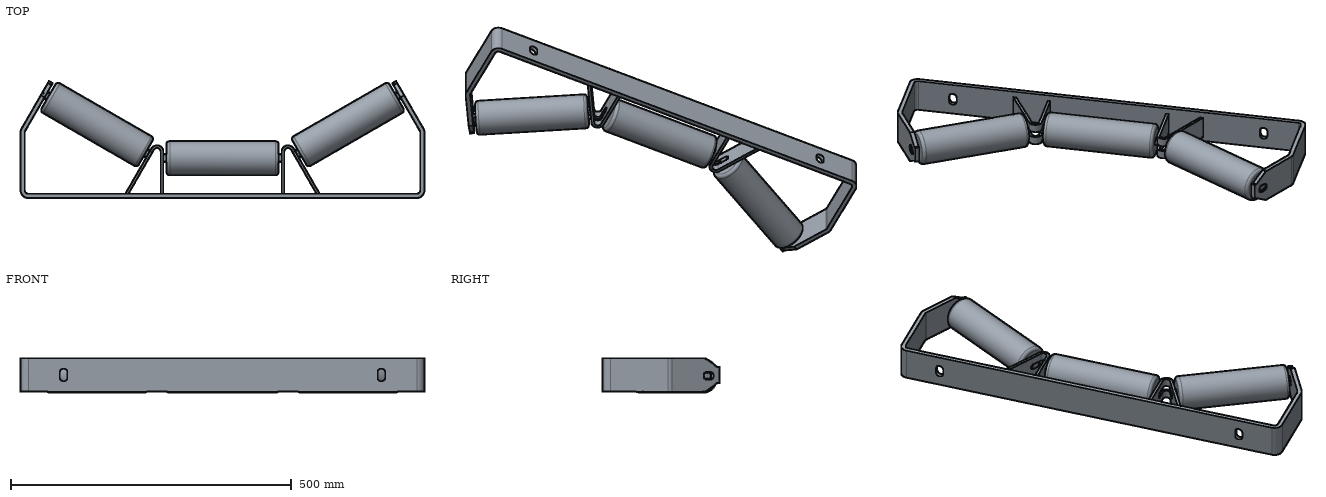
import cadquery as cq
import math


frame_length = 720.0
frame_height = 60.0
frame_thickness = 8.0
frame_depth = 209.0
inner_bend_radius = 6.5
trough_angle = 30.0
tip_width = 29.0
tip_length = 4.0
taper_length = 25.0
mounting_slot_spacing = 566.0
mounting_slot_length = 22.0
slot_width = 14.0
axle_slot_length = 20.0
axle_slot_rise = 2.0

bracket_thickness = 5.0
bracket_height = 40.0
bracket_spacing = 210.0
bend_centre_y = 83.0
bracket_slot_reach = 11.0

roller_diameter = 61.0
roller_length = 200.0
roller_edge_radius = 6.0
axle_diameter = 15.0
axle_flat_width = 10.0
roller_axis_y = 71.0
roller_drop = 1.5

half_length = frame_length / 2
tilt = math.radians(trough_angle)
bracket_bend_radius = inner_bend_radius + bracket_thickness
frame_bend_radius = inner_bend_radius + frame_thickness
bend_centre_x = -bracket_spacing / 2 - bracket_bend_radius
axis_drop = bend_centre_y - roller_axis_y

arm_direction = cq.Vector(math.sin(tilt), math.cos(tilt))
arm_normal = cq.Vector(-math.cos(tilt), math.sin(tilt))

bend_centre = cq.Vector(bend_centre_x, bend_centre_y)
axle_foot = bend_centre + arm_normal * bracket_bend_radius - arm_direction * axis_drop
left_roller_centre = axle_foot + arm_normal * (bracket_spacing / 2)
arm_axle_point = axle_foot + arm_normal * (bracket_spacing + frame_thickness)

arm_corner_y = arm_axle_point.y - (arm_axle_point.x + half_length) / math.tan(tilt)
arm_corner = cq.Vector(-half_length, arm_corner_y)
arm_length = (frame_depth - arm_corner_y) / math.cos(tilt)
arm_tip = arm_corner + arm_direction * arm_length


def mirrored(points):
    """Close a left-hand chain of points with its reflection in X."""
    return points + [(-x, y) for x, y in reversed(points)]


def arm_plane():
    """Plane on the outer face of the left arm: x runs up the arm, y along Z, normal into the bar."""
    return cq.Plane(origin=arm_corner.toTuple(), xDir=arm_direction.toTuple(), normal=(-arm_normal).toTuple())


def make_arm_cutter():
    """Material removed from the left arm: two tapered corners and the axle slot."""
    half_height = frame_height / 2
    taper_end = arm_length - tip_length
    corner = [
        (taper_end - taper_length, half_height),
        (taper_end, tip_width / 2),
        (arm_length, tip_width / 2),
        (arm_length, half_height),
    ]
    plane = arm_plane()
    cutter = cq.Workplane(plane).polyline(corner).close().extrude(frame_thickness)
    cutter = cutter.union(cutter.mirror("XY"))
    slot_position = (arm_axle_point - arm_corner).Length + axle_slot_rise
    slot = (
        cq.Workplane(plane)
        .center(slot_position, -roller_drop)
        .slot2D(axle_slot_length, slot_width)
        .extrude(frame_thickness)
    )
    return cutter.union(slot)


def make_frame():
    inner_x = -half_length + frame_thickness
    inner_arm_corner = (inner_x, arm_corner_y - frame_thickness * math.tan(tilt / 2))
    inner_tip = arm_tip - arm_normal * frame_thickness
    outer = [(arm_tip.x, arm_tip.y), (-half_length, arm_corner_y), (-half_length, 0)]
    inner = [(inner_tip.x, inner_tip.y), inner_arm_corner, (inner_x, frame_thickness)]
    outline = mirrored(outer) + mirrored(inner)[::-1]
    frame = (
        cq.Workplane("XY")
        .polyline(outline)
        .close()
        .extrude(frame_height / 2, both=True)
    )

    for corners, radius in ((outer[1:], frame_bend_radius), (inner[1:], inner_bend_radius)):
        for x, y in mirrored(corners):
            frame = frame.edges(cq.NearestToPointSelector((x, y, 0))).fillet(radius)

    arm_cutter = make_arm_cutter()
    frame = frame.cut(arm_cutter).cut(arm_cutter.mirror("YZ"))

    mounting_slots = (
        cq.Workplane("XZ")
        .pushPoints([(-mounting_slot_spacing / 2, 0), (mounting_slot_spacing / 2, 0)])
        .slot2D(mounting_slot_length, slot_width, 90)
        .extrude(-frame_thickness)
    )
    return frame.cut(mounting_slots)


def bend_point(radius, angle):
    """Point on the bracket bend, at an angle in degrees from +X."""
    turn = math.radians(angle)
    return (bend_centre_x + radius * math.cos(turn), bend_centre_y + radius * math.sin(turn))


def inclined_leg_base(radius):
    """Where a face of the inclined leg meets the front wall of the frame."""
    x, y = bend_point(radius, 180 - trough_angle)
    return (x - (y - frame_thickness) * math.tan(tilt), frame_thickness)


def bracket_profile(outer_radius):
    """Region under a bracket face: upright leg, bend and inclined leg, standing on the frame."""
    bend_sweep = 180 - trough_angle
    return (
        cq.Workplane("XY")
        .moveTo(bend_centre_x + outer_radius, frame_thickness)
        .lineTo(*bend_point(outer_radius, 0))
        .threePointArc(bend_point(outer_radius, bend_sweep / 2), bend_point(outer_radius, bend_sweep))
        .lineTo(*inclined_leg_base(outer_radius))
        .close()
    )


def make_bracket():
    """Left bracket centred on Z = 0, with one slot running over the bend for the axles of both rollers."""
    outside = bracket_profile(bracket_bend_radius).extrude(bracket_height / 2, both=True)
    inside = bracket_profile(inner_bend_radius).extrude(bracket_height / 2, both=True)
    bracket = outside.cut(inside)

    for direction, normal in ((cq.Vector(0, 1), cq.Vector(1, 0)), (arm_direction, arm_normal)):
        leg = cq.Plane(origin=bend_centre.toTuple(), xDir=direction.toTuple(), normal=normal.toTuple())
        slot_length = 2 * (axis_drop + bracket_slot_reach)
        leg_slot = cq.Workplane(leg).slot2D(slot_length, axle_flat_width).extrude(bracket_bend_radius)
        bracket = bracket.cut(leg_slot)
    bend_slot = (
        cq.Workplane("XY")
        .center(bend_centre_x, bend_centre_y)
        .circle(bracket_bend_radius)
        .extrude(axle_flat_width / 2, both=True)
    )
    return bracket.cut(bend_slot)


def make_roller():
    """Roller on the X axis; its flattened axle ends pass through the thickness of a bracket."""
    shell = (
        cq.Workplane("YZ", origin=(-roller_length / 2, 0, 0))
        .circle(roller_diameter / 2)
        .extrude(roller_length)
        .edges()
        .fillet(roller_edge_radius)
    )
    axle_length = bracket_spacing + 2 * bracket_thickness
    axle = (
        cq.Workplane("YZ")
        .circle(axle_diameter / 2)
        .extrude(axle_length / 2, both=True)
        .intersect(cq.Workplane("XY").box(axle_length, axle_diameter, axle_flat_width))
    )
    return shell.union(axle)


frame = make_frame()
bodies = [frame.val()]

left_bracket = make_bracket().translate((0, 0, -roller_drop))
for bracket in (left_bracket, left_bracket.mirror("YZ")):
    bodies.append(bracket.val())

roller = make_roller()
roller_places = [
    (left_roller_centre.x, left_roller_centre.y, -trough_angle),
    (0, roller_axis_y, 0),
    (-left_roller_centre.x, left_roller_centre.y, trough_angle),
]
for x, y, angle in roller_places:
    placed = roller.rotate((0, 0, 0), (0, 0, 1), angle).translate((x, y, -roller_drop))
    bodies.append(placed.val())

result = cq.Compound.makeCompound(bodies)